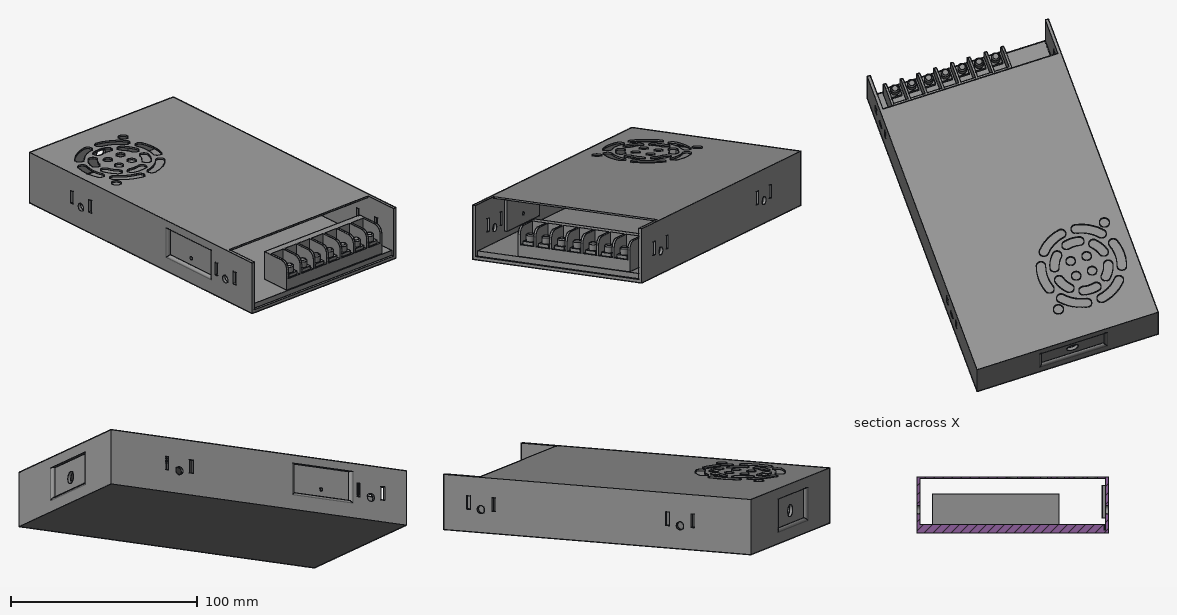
import cadquery as cq
import math

LENGTH = 180.5
WIDTH = 102.7
HEIGHT = 30.1
WALL = 1.8
COVER_THICKNESS = 0.9
COVER_END = 160.0

BOARD_THICKNESS = 2.9
BOARD_END = 179.0
BOARD_SIDE_GAP = 0.5
BOARD_TOP = WALL + BOARD_THICKNESS

CELL_COUNT = 7
BLOCK_WIDTH = 67.9
RIB_THICKNESS = 1.3
BLOCK_START = 160.5
BLOCK_END = 178.3
BLOCK_FRONT = 26.5
BLOCK_TOP = 21.1
BLOCK_ROUNDING = 4.3
CELL_START = 164.6
CELL_FLOOR = 11.2
CELL_PITCH = (BLOCK_WIDTH - RIB_THICKNESS) / CELL_COUNT
CELL_WIDTH = CELL_PITCH - RIB_THICKNESS


SCREW_X = 174.4
CLAMP_SIDE = 6.0
CLAMP_THICKNESS = 1.8
SCREW_DIAMETER = 4.7
SCREW_HEIGHT = 4.0
SCREW_CHAMFER = 0.7

FAN_X = 39.0
FAN_Y = 30.1
SLOT_COUNT = 6
OUTER_SLOT_RADIUS = 21.7
OUTER_SLOT_HALF_ANGLE = 19.0
INNER_SLOT_RADIUS = 14.5
INNER_SLOT_HALF_ANGLE = 14.5
SLOT_WIDTH = 5.0
CENTRE_HOLE_OFFSET = 4.5
CENTRE_HOLE_DIAMETER = 5.0
FAN_SCREW_OFFSET = 19.9
FAN_SCREW_DIAMETER = 5.5

MOUNT_HOLES_X = (41.7, 158.7)
MOUNT_HOLE_Z = 12.6
MOUNT_HOLE_DIAMETER = 4.3
MOUNT_SLOT_Z = 15.9
MOUNT_SLOT_HEIGHT = 7.4
MOUNT_SLOTS = ((-7.4, 1.8), (7.4, 2.3))

RECESS_DEPTH = 1.6
FRONT_RECESS_X = 129.2
FRONT_RECESS_WIDTH = 36.8
FRONT_RECESS_BOTTOM = 8.1
FRONT_RECESS_TOP = 25.6
FRONT_HOLE_Z = 13.7
FRONT_HOLE_DIAMETER = 1.8
END_RECESS_Y = 48.0
END_RECESS_WIDTH = 38.6
END_RECESS_BOTTOM = 6.3
END_RECESS_TOP = 24.4
END_HOLE_Z = 14.8
END_HOLE_DIAMETER = 6.5


def box(x_range, y_range, z_range):
    """Box between the given limits along each axis."""
    size = [high - low for low, high in (x_range, y_range, z_range)]
    return cq.Workplane("XY").box(*size, centered=False).translate((x_range[0], y_range[0], z_range[0]))


def make_enclosure():
    outer = box((0, LENGTH), (0, WIDTH), (0, HEIGHT))
    cavity = box((WALL, LENGTH), (WALL, WIDTH - WALL), (WALL, HEIGHT - COVER_THICKNESS))
    open_top = box((COVER_END, LENGTH), (WALL, WIDTH - WALL), (WALL, HEIGHT))
    return outer.cut(cavity).cut(open_top)


def make_board():
    return box((WALL, BOARD_END), (WALL + BOARD_SIDE_GAP, WIDTH - WALL), (WALL, BOARD_TOP))


def make_terminal_screw(y):
    clamp_top = CELL_FLOOR + CLAMP_THICKNESS
    clamp = (
        cq.Workplane("XY", origin=(SCREW_X, y, CELL_FLOOR))
        .rect(CLAMP_SIDE, CLAMP_SIDE)
        .extrude(CLAMP_THICKNESS)
    )
    head = (
        cq.Workplane("XY", origin=(SCREW_X, y, clamp_top))
        .circle(SCREW_DIAMETER / 2)
        .extrude(SCREW_HEIGHT)
        .faces(">Z")
        .chamfer(SCREW_CHAMFER)
    )
    return clamp.union(head)


def make_terminal_block():
    block = box(
        (BLOCK_START, BLOCK_END),
        (BLOCK_FRONT, BLOCK_FRONT + BLOCK_WIDTH),
        (BOARD_TOP, BLOCK_TOP),
    )
    block = block.edges(">X and >Z").fillet(BLOCK_ROUNDING)
    for index in range(CELL_COUNT):
        cell_front = BLOCK_FRONT + RIB_THICKNESS + index * CELL_PITCH
        cell = box(
            (CELL_START, BLOCK_END),
            (cell_front, cell_front + CELL_WIDTH),
            (CELL_FLOOR, BLOCK_TOP),
        )
        block = block.cut(cell).union(make_terminal_screw(cell_front + CELL_WIDTH / 2))
    return block


def cover_cutter():
    """Sketch plane just inside the cover, for cuts going up through it."""
    return cq.Workplane("XY", origin=(FAN_X, FAN_Y, HEIGHT - COVER_THICKNESS))


def arc_slot(radius, half_angle, direction):
    """Round-ended slot along an arc around the fan axis, centred on the given direction."""
    def point(distance, angle):
        turn = math.radians(angle)
        return (distance * math.cos(turn), distance * math.sin(turn))

    inner = radius - SLOT_WIDTH / 2
    outer = radius + SLOT_WIDTH / 2
    start = direction - half_angle
    end = direction + half_angle
    cap_angle = math.degrees(SLOT_WIDTH / 2 / radius)
    return (
        cover_cutter()
        .moveTo(*point(inner, start))
        .threePointArc(point(inner, direction), point(inner, end))
        .threePointArc(point(radius, end + cap_angle), point(outer, end))
        .threePointArc(point(outer, direction), point(outer, start))
        .threePointArc(point(radius, start - cap_angle), point(inner, start))
        .close()
        .extrude(COVER_THICKNESS)
    )


def cut_fan_grille(body):
    slot_step = 360 / SLOT_COUNT
    for index in range(SLOT_COUNT):
        direction = index * slot_step
        body = body.cut(arc_slot(INNER_SLOT_RADIUS, INNER_SLOT_HALF_ANGLE, direction))
        body = body.cut(arc_slot(OUTER_SLOT_RADIUS, OUTER_SLOT_HALF_ANGLE, direction + slot_step / 2))
    centre_holes = (
        cover_cutter()
        .rect(2 * CENTRE_HOLE_OFFSET, 2 * CENTRE_HOLE_OFFSET, forConstruction=True)
        .vertices()
        .circle(CENTRE_HOLE_DIAMETER / 2)
        .extrude(COVER_THICKNESS)
    )
    fan_screw_holes = (
        cover_cutter()
        .pushPoints([(-FAN_SCREW_OFFSET, FAN_SCREW_OFFSET), (FAN_SCREW_OFFSET, -FAN_SCREW_OFFSET)])
        .circle(FAN_SCREW_DIAMETER / 2)
        .extrude(COVER_THICKNESS)
    )
    return body.cut(centre_holes).cut(fan_screw_holes)


def cut_mounting_openings(body):
    for outer_y in (WALL, WIDTH):
        wall_plane = cq.Workplane("XZ", origin=(0, outer_y, 0))
        for hole_x in MOUNT_HOLES_X:
            hole = wall_plane.center(hole_x, MOUNT_HOLE_Z).circle(MOUNT_HOLE_DIAMETER / 2).extrude(WALL)
            body = body.cut(hole)
            for offset, slot_width in MOUNT_SLOTS:
                slot = (
                    wall_plane.center(hole_x + offset, MOUNT_SLOT_Z)
                    .rect(slot_width, MOUNT_SLOT_HEIGHT)
                    .extrude(WALL)
                )
                body = body.cut(slot)
    return body


def recess_tools(width, bottom, top, hole_z, hole_diameter):
    """Backing pad and cutter of a dish in a wall whose outer face is Y = 0, centred on X = 0.

    The rim is rounded along both sides and the bottom; the top edge stays square.
    """
    half = width / 2
    depth = RECESS_DEPTH
    near = depth * (1 - math.sqrt(0.5))
    pad = box((-half, half), (WALL, WALL + depth), (bottom, top))
    side_flare = (
        cq.Workplane("XY", origin=(0, 0, bottom))
        .moveTo(-half, 0)
        .threePointArc((-half + depth - near, near), (-half + depth, depth))
        .lineTo(half - depth, depth)
        .threePointArc((half - depth + near, near), (half, 0))
        .close()
        .extrude(top - bottom)
    )
    bottom_flare = (
        cq.Workplane("YZ", origin=(-half, 0, 0))
        .moveTo(0, bottom)
        .threePointArc((near, bottom + depth - near), (depth, bottom + depth))
        .lineTo(depth, top)
        .lineTo(0, top)
        .close()
        .extrude(width)
    )
    hole = (
        cq.Workplane("XZ", origin=(0, 0, hole_z))
        .circle(hole_diameter / 2)
        .extrude(-(WALL + depth))
    )
    return pad, side_flare.intersect(bottom_flare).union(hole)


def add_recesses(body):
    front_tools = recess_tools(
        FRONT_RECESS_WIDTH, FRONT_RECESS_BOTTOM, FRONT_RECESS_TOP, FRONT_HOLE_Z, FRONT_HOLE_DIAMETER
    )
    end_tools = recess_tools(
        END_RECESS_WIDTH, END_RECESS_BOTTOM, END_RECESS_TOP, END_HOLE_Z, END_HOLE_DIAMETER
    )
    front_pad, front_cutter = [tool.translate((FRONT_RECESS_X, 0, 0)) for tool in front_tools]
    end_pad, end_cutter = [
        tool.rotate((0, 0, 0), (0, 0, 1), -90).translate((0, END_RECESS_Y, 0)) for tool in end_tools
    ]
    return body.union(front_pad).union(end_pad).cut(front_cutter).cut(end_cutter)


result = make_enclosure()
result = cut_fan_grille(result)
result = cut_mounting_openings(result)
result = add_recesses(result)
result = result.union(make_board()).union(make_terminal_block())